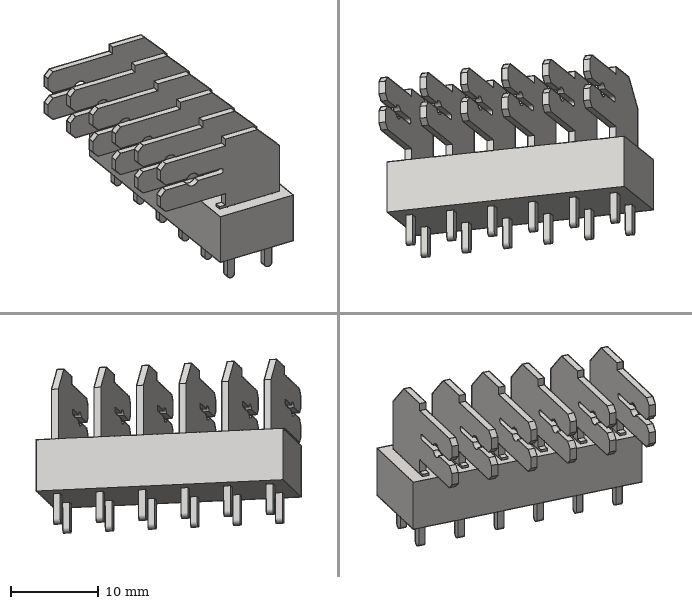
import cadquery as cq

housing_length = 29.0
housing_depth = 9.8
housing_height = 6.03

contact_count = 6
row_length = 25.0
contact_pitch = row_length / (contact_count - 1)
contact_thickness = 0.8

base_depth = 8.05
base_back = base_depth / 2
base_front = -base_depth / 2
foot_height = 0.3
foot_depth = 0.78
plate_height = 9.0
shoulder_y = base_front + foot_depth
plate_top = housing_height + plate_height
back_chamfer = 3.0

overall_depth = 16.85
tab_tip_y = housing_depth / 2 - overall_depth
tab_height = 6.3
tab_drop = 0.9
tab_top = plate_top - tab_drop
tab_bottom = tab_top - tab_height
tab_middle = (tab_top + tab_bottom) / 2
prong_chamfer = 0.7

slot_width = 0.67
slot_end_gap = 0.3
slot_end_y = shoulder_y - slot_end_gap
relief_diameter = 1.62
relief_setback = 4.3
relief_y = tab_tip_y + relief_setback

pin_spacing = contact_pitch
pin_width = 1.0
pin_length = 3.48
pin_positions = (-pin_spacing / 2, pin_spacing / 2)


def contact_x(index):
    """X of the middle plane of a contact, with the row centred on X = 0."""
    return index * contact_pitch - row_length / 2


def contact_plane(x):
    """Sketch plane on the -X face of a contact: local x is Y, local y is Z."""
    return cq.Workplane("YZ", origin=(x - contact_thickness / 2, 0, 0))


def make_plate(x):
    """Upright plate with a stepped foot, a sloped back corner and a plain tab."""
    return (
        contact_plane(x)
        .moveTo(base_back, housing_height)
        .lineTo(base_back, plate_top - back_chamfer)
        .lineTo(base_back - back_chamfer, plate_top)
        .lineTo(shoulder_y, plate_top)
        .lineTo(shoulder_y, tab_top)
        .lineTo(tab_tip_y, tab_top)
        .lineTo(tab_tip_y, tab_bottom)
        .lineTo(shoulder_y, tab_bottom)
        .lineTo(shoulder_y, housing_height + foot_height)
        .lineTo(base_front, housing_height + foot_height)
        .lineTo(base_front, housing_height)
        .close()
        .extrude(contact_thickness)
    )


def make_fork_cut(x):
    """Round-ended slot, open at the tab tip, joined with the round relief."""
    slot_radius = slot_width / 2
    slot = (
        contact_plane(x)
        .moveTo(tab_tip_y, tab_middle - slot_radius)
        .lineTo(slot_end_y - slot_radius, tab_middle - slot_radius)
        .threePointArc(
            (slot_end_y, tab_middle),
            (slot_end_y - slot_radius, tab_middle + slot_radius),
        )
        .lineTo(tab_tip_y, tab_middle + slot_radius)
        .close()
        .extrude(contact_thickness)
    )
    relief = (
        contact_plane(x)
        .center(relief_y, tab_middle)
        .circle(relief_diameter / 2)
        .extrude(contact_thickness)
    )
    return slot.union(relief)


def make_pin(x, y):
    """Flat pin from the top of the housing down to a rounded tip below it."""
    pin_radius = pin_width / 2
    tip_start = pin_radius - pin_length
    return (
        contact_plane(x)
        .moveTo(y - pin_radius, housing_height)
        .lineTo(y - pin_radius, tip_start)
        .threePointArc((y, -pin_length), (y + pin_radius, tip_start))
        .lineTo(y + pin_radius, housing_height)
        .close()
        .extrude(contact_thickness)
    )


def make_contact(x):
    """One contact: forked plate with chamfered prong tips and two pins."""
    contact = make_plate(x).cut(make_fork_cut(x))
    contact = contact.faces("<Y").edges("|X").chamfer(prong_chamfer)
    for y in pin_positions:
        contact = contact.union(make_pin(x, y))
    return contact


def make_housing():
    """Block with a rectangular through hole for every pin."""
    block = cq.Workplane("XY").box(
        housing_length, housing_depth, housing_height, centered=(True, True, False)
    )
    hole_centers = [(contact_x(i), y) for i in range(contact_count) for y in pin_positions]
    holes = (
        cq.Workplane("XY")
        .pushPoints(hole_centers)
        .rect(contact_thickness, pin_width)
        .extrude(housing_height)
    )
    return block.cut(holes)


housing = make_housing()
contacts = [make_contact(contact_x(i)) for i in range(contact_count)]

result = cq.Compound.makeCompound([housing.val(), *[contact.val() for contact in contacts]])